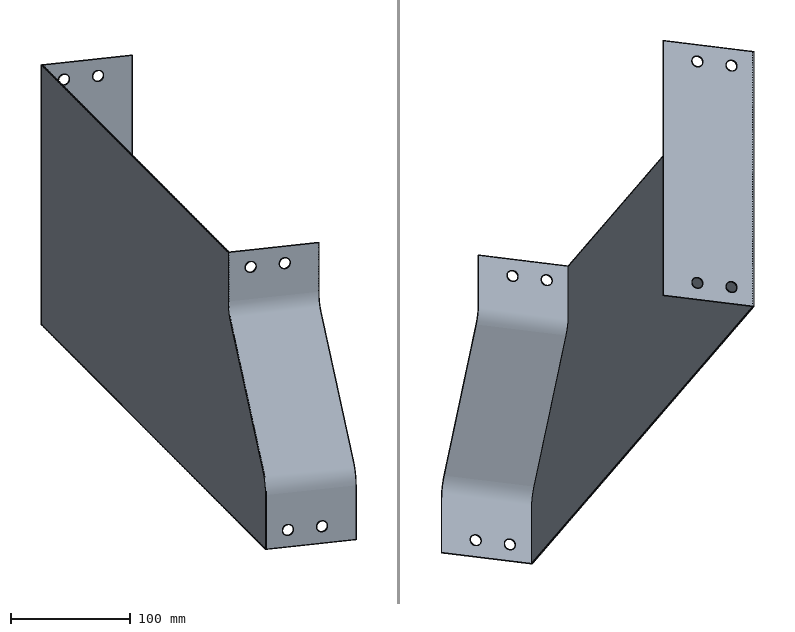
import cadquery as cq

length = 600.0
depth = 80.0
height = 230.0
thickness = 1.0

top_length = 500.5
upper_drop = 53.0
lower_rise = 59.0
upper_bend_radius = 25.0
lower_bend_radius = 30.0

hole_diameter = 9.5
hole_end_distance = 15.0
hole_depth_positions = (20.0, 50.0)


def side_outline():
    """Prism with the front outline, as deep as the flanges."""
    prism = (
        cq.Workplane("XZ")
        .polyline([
            (0, 0),
            (length, 0),
            (length, lower_rise),
            (top_length, height - upper_drop),
            (top_length, height),
            (0, height),
        ])
        .close()
        .extrude(-depth)
    )
    lower_corner = cq.selectors.NearestToPointSelector((length, depth / 2, lower_rise))
    prism = prism.edges(lower_corner).fillet(lower_bend_radius)
    upper_corner = cq.selectors.NearestToPointSelector((top_length, depth / 2, height - upper_drop))
    return prism.edges(upper_corner).fillet(upper_bend_radius)


def folded_sheet():
    """Front plate with a flat left flange and a bent right flange, open at back, top and bottom."""
    prism = side_outline()
    open_faces = prism.faces(">Y or >Z or <Z")
    return open_faces.shell(-thickness)


def mounting_holes():
    """Cylinders along X that pierce both flanges."""
    centers = [
        (y, z)
        for y in hole_depth_positions
        for z in (hole_end_distance, height - hole_end_distance)
    ]
    return (
        cq.Workplane("YZ")
        .pushPoints(centers)
        .circle(hole_diameter / 2)
        .extrude(length)
    )


result = folded_sheet().cut(mounting_holes())